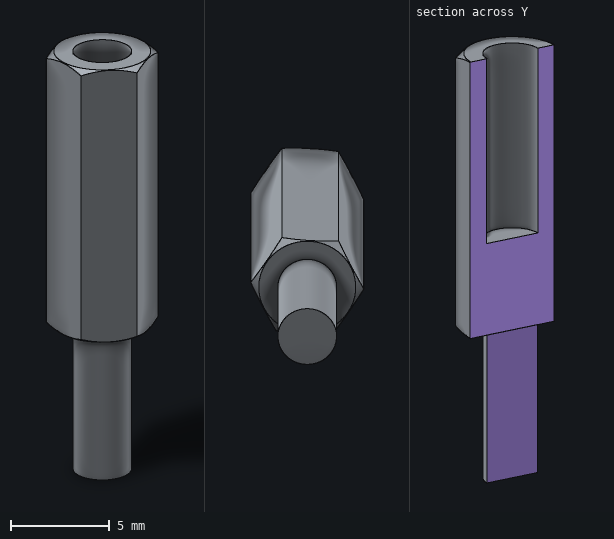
import cadquery as cq
import math

total_length = 23.0
hex_length = 15.0
across_flats = 5.0
half_corner_angle = 30.0
bore_diameter = 3.0
hole_depth = 10.0
chamfer_face_diameter = 4.92
quarter_turn = 90.0
chamfer_angle = 30.0

stud_length = total_length - hex_length
across_corners = across_flats / math.cos(math.radians(half_corner_angle))
corner_radius = across_corners / 2
face_radius = chamfer_face_diameter / 2
chamfer_drop = (corner_radius - face_radius) * math.tan(math.radians(chamfer_angle))


def make_chamfer_envelope():
    """Round blank with conical ends, which trims the corners of the hexagon."""
    return (
        cq.Workplane("XZ")
        .moveTo(0, stud_length)
        .lineTo(face_radius, stud_length)
        .lineTo(corner_radius, stud_length + chamfer_drop)
        .lineTo(corner_radius, total_length - chamfer_drop)
        .lineTo(face_radius, total_length)
        .lineTo(0, total_length)
        .close()
        .revolve(360, (0, 0, 0), (0, 1, 0))
    )


def make_spacer():
    """Hexagonal spacer with corners on the Y axis and a blind hole in its top."""
    hexagon = (
        cq.Workplane("XY")
        .workplane(offset=stud_length)
        .transformed(rotate=(0, 0, quarter_turn))
        .polygon(6, across_corners)
        .extrude(hex_length)
    )
    hole = (
        cq.Workplane("XY")
        .workplane(offset=total_length - hole_depth)
        .circle(bore_diameter / 2)
        .extrude(hole_depth)
    )
    return hexagon.intersect(make_chamfer_envelope()).cut(hole)


def make_stud():
    """Plain cylindrical stud that meets the bottom face of the spacer."""
    return cq.Workplane("XY").circle(bore_diameter / 2).extrude(stud_length)


spacer = make_spacer()
stud = make_stud()

result = cq.Compound.makeCompound([spacer.solids().val(), stud.val()])